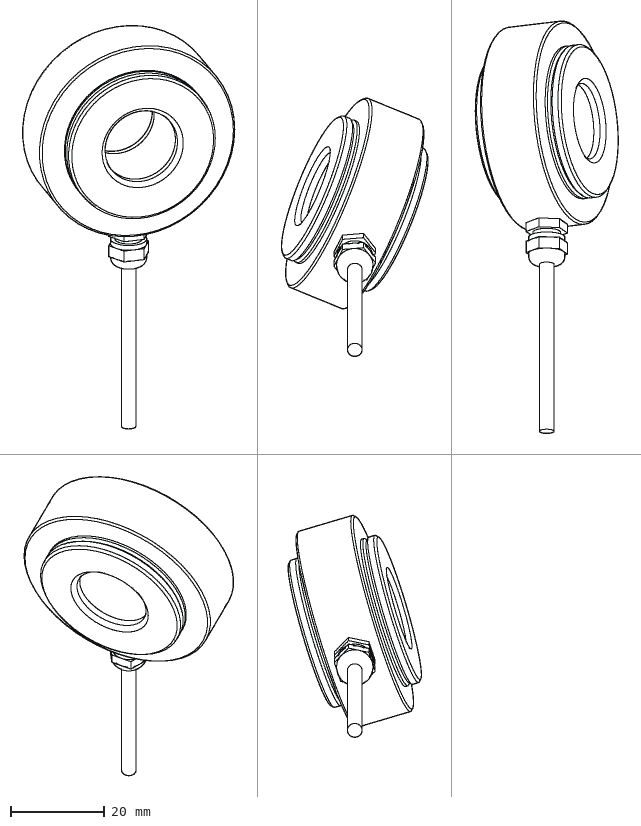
import cadquery as cq
import math

total_width = 20.0
housing_diameter = 44.0
housing_width = 12.9
housing_chamfer = 0.45
collar_diameter = 33.0
disc_thickness = 2.4
groove_chamfer = 0.5
bore_diameter = 16.3
bore_chamfer = 1.0

hex_across_flats = 7.8
hex_corner_diameter = hex_across_flats / math.cos(math.pi / 6)
neck_diameter = 6.0
barrel_diameter = 7.8
base_hex_top = -21.9
base_hex_height = 2.0
neck_height = 1.1
flange_height = 1.1
nut_hex_height = 2.5
cap_height = 2.4
cap_fillet = 1.7

cable_diameter = 3.2
overall_height = 90.5

core_width = total_width - 2 * disc_thickness
base_hex_bottom = base_hex_top - base_hex_height
neck_bottom = base_hex_bottom - neck_height
flange_bottom = neck_bottom - flange_height
nut_hex_bottom = flange_bottom - nut_hex_height
cap_bottom = nut_hex_bottom - cap_height
cable_bottom = housing_diameter / 2 - overall_height


def centred_cylinder(diameter, width):
    """Solid cylinder along X, symmetric about the YZ plane."""
    return cq.Workplane("YZ").workplane(offset=-width / 2).circle(diameter / 2).extrude(width)


def upright_cylinder(diameter, bottom, height):
    return cq.Workplane("XY").workplane(offset=bottom).circle(diameter / 2).extrude(height)


def upright_hexagon(bottom, height):
    """Hexagonal prism along Z with two flats facing -X and +X."""
    return (
        cq.Workplane("XY")
        .workplane(offset=bottom)
        .transformed(rotate=(0, 0, 30))
        .polygon(6, hex_corner_diameter)
        .extrude(height)
    )


def make_gland():
    base_hex = upright_hexagon(base_hex_bottom, base_hex_height)
    neck = upright_cylinder(neck_diameter, neck_bottom, neck_height)
    flange = upright_cylinder(barrel_diameter, flange_bottom, flange_height)
    nut_hex = upright_hexagon(nut_hex_bottom, nut_hex_height)
    cap = upright_cylinder(barrel_diameter, cap_bottom, cap_height)
    cap = cap.faces("<Z").edges().fillet(cap_fillet)
    return base_hex.union(neck).union(flange).union(nut_hex).union(cap)


def make_housing(gland):
    """Wide rim with a narrower collar on each side, bored through."""
    rim = centred_cylinder(housing_diameter, housing_width).edges().chamfer(housing_chamfer)
    collar = centred_cylinder(collar_diameter, core_width).edges().chamfer(groove_chamfer)
    bore = centred_cylinder(bore_diameter, core_width)
    return rim.union(collar).cut(bore).cut(gland)


def make_disc(side):
    """Bevelled end disc; side is -1 for the -X end and +1 for the +X end."""
    disc = cq.Workplane("YZ").circle(collar_diameter / 2).extrude(disc_thickness)
    disc = disc.edges().chamfer(groove_chamfer)
    disc = disc.faces(">X").workplane().hole(bore_diameter)
    disc = disc.faces(">X").edges(cq.selectors.RadiusNthSelector(0)).chamfer(bore_chamfer)
    disc = disc.translate((core_width / 2, 0, 0))
    if side < 0:
        disc = disc.mirror("YZ")
    return disc


def make_cable():
    return upright_cylinder(cable_diameter, cable_bottom, cap_bottom - cable_bottom)


gland = make_gland()
housing = make_housing(gland)
discs = [make_disc(side) for side in (-1, 1)]
cable = make_cable()

result = cq.Compound.makeCompound(
    [housing.val(), *[disc.val() for disc in discs], gland.val(), cable.val()]
)